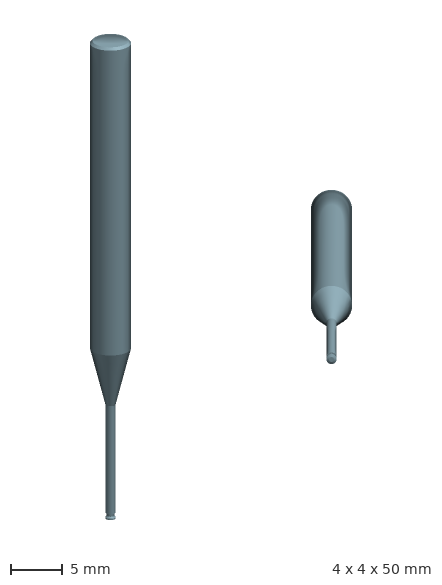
import cadquery as cq

total_length = 50.0
shank_diameter = 4.0
shank_bottom_z = 17.9
chamfer_width = 0.25
chamfer_height = 0.25

neck_diameter = 1.0
neck_top_z = 12.0
neck_bottom_z = 0.7

waist_diameter = 0.75
waist_bottom_z = 0.4
head_diameter = neck_diameter
rim_top_z = 0.25
rim_bottom_z = 0.1
tip_diameter = 0.5


def revolve_profile(points):
    """Turn a closed (radius, height) outline about the Z axis."""
    return cq.Workplane("XZ").polyline(points).close().revolve(360, (0, 0), (0, 1))


def make_shank():
    """Chamfered cylindrical shank, tapered shoulder and neck."""
    shank_radius = shank_diameter / 2
    neck_radius = neck_diameter / 2
    return revolve_profile([
        (0, neck_bottom_z),
        (neck_radius, neck_bottom_z),
        (neck_radius, neck_top_z),
        (shank_radius, shank_bottom_z),
        (shank_radius, total_length - chamfer_height),
        (shank_radius - chamfer_width, total_length),
        (0, total_length),
    ])


def make_cutting_head():
    """Waisted head that meets the flat lower end of the neck."""
    waist_radius = waist_diameter / 2
    head_radius = head_diameter / 2
    return revolve_profile([
        (0, 0),
        (tip_diameter / 2, 0),
        (head_radius, rim_bottom_z),
        (head_radius, rim_top_z),
        (waist_radius, waist_bottom_z),
        (waist_radius, neck_bottom_z),
        (0, neck_bottom_z),
    ])


shank = make_shank()
cutting_head = make_cutting_head()

result = cq.Compound.makeCompound([shank.val(), cutting_head.val()])